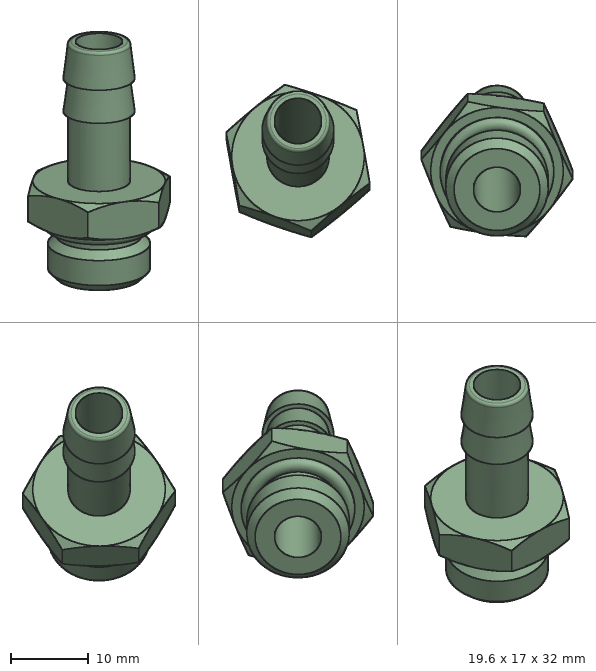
import cadquery as cq
import math

total_height = 32.0
hex_bottom = 7.97
hex_height = 5.0
hex_top = hex_bottom + hex_height

bore_radius = 6.0 / 2
tube_radius = 8.0 / 2
barb_radius = 4.6
thread_radius = 13.15 / 2
neck_radius = 11.0 / 2

taper = thread_radius - neck_radius
thread_length = 5.55

barb_height = 4.5
lower_barb_base = 22.5
upper_barb_base = lower_barb_base + barb_height
tip_round = 0.45

hex_flats = 17.0
hex_corners = hex_flats / math.cos(math.radians(30))
corner_cone_angle = 30.0

ring_section_radius = 0.9
ring_center_radius = neck_radius + ring_section_radius
ring_bottom = 6.62
ring_center_height = ring_bottom + ring_section_radius


def make_thread_end():
    """Threaded end with a chamfered nose and a narrower neck below the hexagon."""
    return (
        cq.Workplane("XZ")
        .lineTo(neck_radius, 0)
        .lineTo(thread_radius, taper)
        .lineTo(thread_radius, thread_length - taper)
        .lineTo(neck_radius, thread_length)
        .lineTo(neck_radius, hex_bottom)
        .lineTo(0, hex_bottom)
        .close()
        .revolve(360, (0, 0, 0), (0, 1, 0))
    )


def make_hexagon():
    """Hexagon whose corners are turned down by a cone on both faces."""
    face_radius = hex_flats / 2
    corner_radius = hex_corners / 2
    cone_drop = (corner_radius - face_radius) * math.tan(math.radians(corner_cone_angle))
    prism = (
        cq.Workplane("XY", origin=(0, 0, hex_bottom))
        .polygon(6, hex_corners)
        .extrude(hex_height)
    )
    turned_blank = (
        cq.Workplane("XZ")
        .moveTo(0, hex_bottom)
        .lineTo(face_radius, hex_bottom)
        .lineTo(corner_radius, hex_bottom + cone_drop)
        .lineTo(corner_radius, hex_top - cone_drop)
        .lineTo(face_radius, hex_top)
        .lineTo(0, hex_top)
        .close()
        .revolve(360, (0, 0, 0), (0, 1, 0))
    )
    return prism.intersect(turned_blank)


def make_hose_tail():
    """Plain tube that carries two tapered barbs and ends in a rounded tip."""
    tail = (
        cq.Workplane("XZ")
        .moveTo(0, hex_top)
        .lineTo(tube_radius, hex_top)
        .lineTo(tube_radius, lower_barb_base)
        .lineTo(barb_radius, lower_barb_base)
        .lineTo(tube_radius, upper_barb_base)
        .lineTo(barb_radius, upper_barb_base)
        .lineTo(tube_radius, total_height)
        .lineTo(0, total_height)
        .close()
        .revolve(360, (0, 0, 0), (0, 1, 0))
    )
    return tail.faces(">Z").edges().fillet(tip_round)


def make_sealing_ring():
    """Ring of circular section around the neck."""
    return (
        cq.Workplane("XZ")
        .moveTo(ring_center_radius, ring_center_height)
        .circle(ring_section_radius)
        .revolve(360, (0, 0, 0), (0, 1, 0))
    )


def make_fitting():
    """One-piece fitting with a full-length bore and a seat that matches the sealing ring."""
    bore = cq.Workplane("XY").circle(bore_radius).extrude(total_height)
    body = make_thread_end().union(make_hexagon()).union(make_hose_tail())
    return body.cut(bore).cut(make_sealing_ring())


fitting = make_fitting()
sealing_ring = make_sealing_ring()
result = cq.Compound.makeCompound([fitting.val(), sealing_ring.val()])